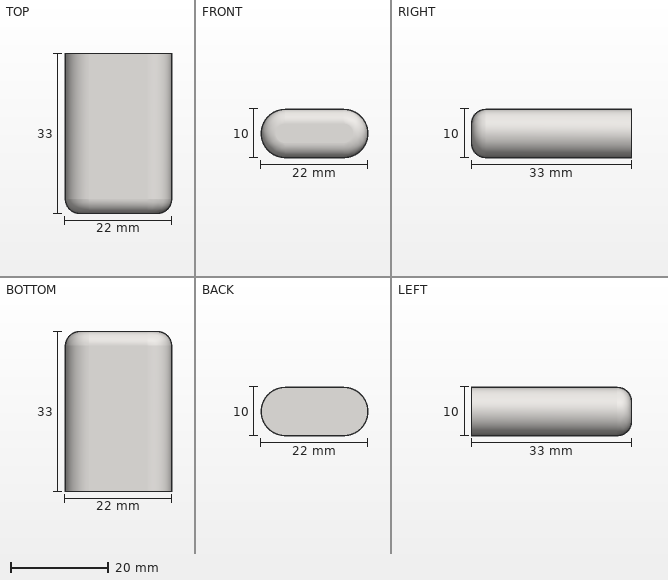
import cadquery as cq

length = 33.0
width = 22.0
thickness = 10.0
edge_radius = 3.0

bar = (
    cq.Workplane("XZ", origin=(0, length / 2, 0))
    .slot2D(width, thickness)
    .extrude(length)
)

result = bar.faces("<Y").edges().fillet(edge_radius)